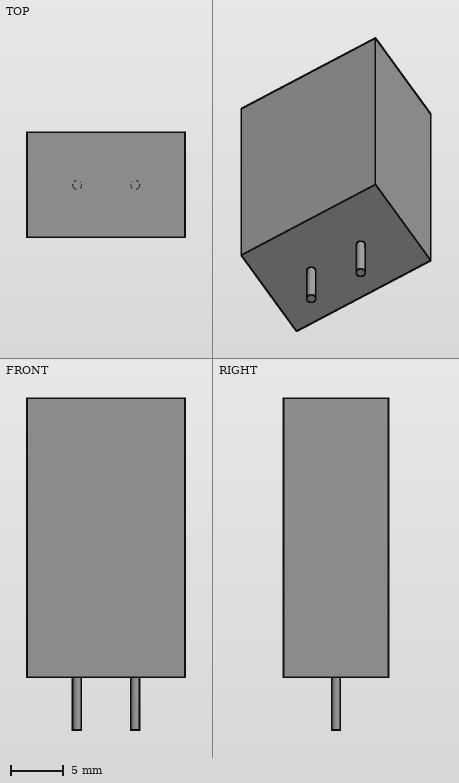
import cadquery as cq

TOTAL_HEIGHT = 31.55
BODY_WIDTH = 15.02
BODY_DEPTH = 10.0
PIN_LENGTH = 5.02
PIN_DIAMETER = 0.85
PIN_SPACING = 5.52

BODY_HEIGHT = TOTAL_HEIGHT - PIN_LENGTH


def make_body():
    """Plain rectangular body standing on the plane Z = 0."""
    return cq.Workplane("XY").box(BODY_WIDTH, BODY_DEPTH, BODY_HEIGHT, centered=(True, True, False))


def make_pin(x):
    """Round pin hanging from the underside of the body at the given X."""
    return cq.Workplane("XY").center(x, 0).circle(PIN_DIAMETER / 2).extrude(-PIN_LENGTH)


body = make_body()
pins = [make_pin(side * PIN_SPACING / 2) for side in (-1, 1)]

result = cq.Compound.makeCompound([body.val(), *[pin.val() for pin in pins]])